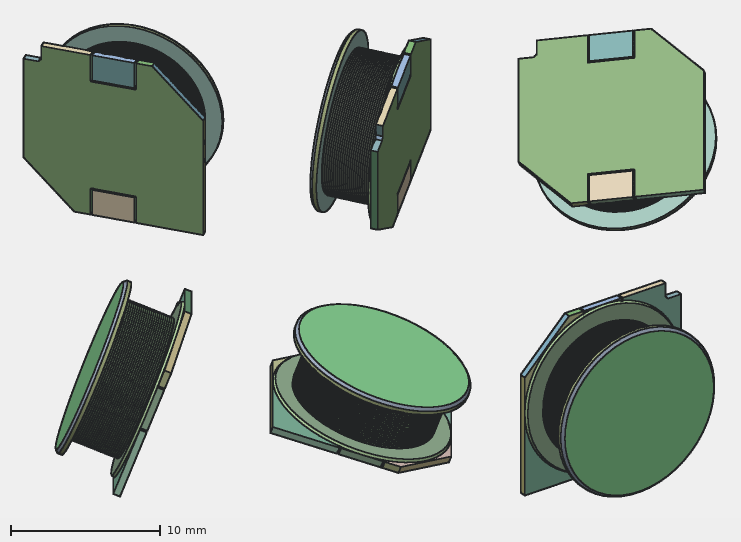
import cadquery as cq

PLATE_SIZE = 12.7
PLATE_THICKNESS = 0.5
CORNER_CUT = 3.6
NOTCH_SIZE = 1.26
NOTCH_FILLER = 0.2

PAD_WIDTH = 3.0
PAD_LENGTH = 2.0
GROOVE_WIDTH = 0.11

FLANGE_RADIUS = 6.25
FLANGE_BEVEL = 0.2
UPPER_FLANGE_THICKNESS = 0.5

TOTAL_HEIGHT = 4.8
WINDING_RADIUS = 5.08
WIRE_DIAMETER = 0.14
TURNS = 24

HALF = PLATE_SIZE / 2
WINDING_START = PLATE_THICKNESS + FLANGE_BEVEL
WINDING_END = TOTAL_HEIGHT - UPPER_FLANGE_THICKNESS
WINDING_HEIGHT = WINDING_END - WINDING_START
WIRE_PATH_RADIUS = WINDING_RADIUS - WIRE_DIAMETER / 2


def plate_blank():
    """Square plate with two cut corners and one notched corner."""
    notch_edge = HALF - NOTCH_SIZE
    return (
        cq.Workplane("XZ")
        .moveTo(-HALF, -HALF + CORNER_CUT)
        .lineTo(-HALF, notch_edge)
        .lineTo(-notch_edge - NOTCH_FILLER, notch_edge)
        .lineTo(-notch_edge, notch_edge + NOTCH_FILLER)
        .lineTo(-notch_edge, HALF)
        .lineTo(HALF - CORNER_CUT, HALF)
        .lineTo(HALF, HALF - CORNER_CUT)
        .lineTo(HALF, -HALF)
        .lineTo(-HALF + CORNER_CUT, -HALF)
        .close()
        .extrude(-PLATE_THICKNESS)
    )


def pad_groove():
    """U-shaped groove around the pad on the +Z edge, rounded at its outer corners."""
    outer_width = PAD_WIDTH + 2 * GROOVE_WIDTH
    outer_length = PAD_LENGTH + GROOVE_WIDTH
    outer = (
        cq.Workplane("XY")
        .box(outer_width, PLATE_THICKNESS, outer_length, centered=(True, False, False))
        .edges("|Y and <Z")
        .fillet(GROOVE_WIDTH)
        .translate((0, 0, HALF - outer_length))
    )
    pad = (
        cq.Workplane("XY")
        .box(PAD_WIDTH, PLATE_THICKNESS, PAD_LENGTH, centered=(True, False, False))
        .translate((0, 0, HALF - PAD_LENGTH))
    )
    return outer.cut(pad)


def base_plate():
    plate = plate_blank()
    groove = pad_groove()
    return plate.cut(groove).cut(groove.mirror("XY"))


def spool():
    """Core and both bevelled flanges, turned about the Y axis; the lower flange spans the plate."""
    return (
        cq.Workplane("XY")
        .moveTo(0, PLATE_THICKNESS)
        .lineTo(HALF, PLATE_THICKNESS)
        .lineTo(FLANGE_RADIUS, WINDING_START)
        .lineTo(WIRE_PATH_RADIUS, WINDING_START)
        .lineTo(WIRE_PATH_RADIUS, WINDING_END)
        .lineTo(FLANGE_RADIUS, WINDING_END)
        .lineTo(FLANGE_RADIUS, TOTAL_HEIGHT - FLANGE_BEVEL)
        .lineTo(FLANGE_RADIUS - FLANGE_BEVEL, TOTAL_HEIGHT)
        .lineTo(0, TOTAL_HEIGHT)
        .close()
        .revolve(360, (0, 0, 0), (0, 1, 0))
    )


def winding():
    """Single layer of round wire wound as a helix along the Y axis."""
    pitch = (WINDING_HEIGHT - WIRE_DIAMETER) / TURNS
    path = cq.Wire.makeHelix(pitch, pitch * TURNS, WIRE_PATH_RADIUS)
    wire = (
        cq.Workplane("XZ", origin=(WIRE_PATH_RADIUS, 0, 0))
        .circle(WIRE_DIAMETER / 2)
        .sweep(cq.Workplane(obj=path), isFrenet=True)
    )
    start = WINDING_START + WIRE_DIAMETER / 2
    return wire.rotate((0, 0, 0), (1, 0, 0), -90).translate((0, start, 0))


result = base_plate().union(spool()).union(winding())